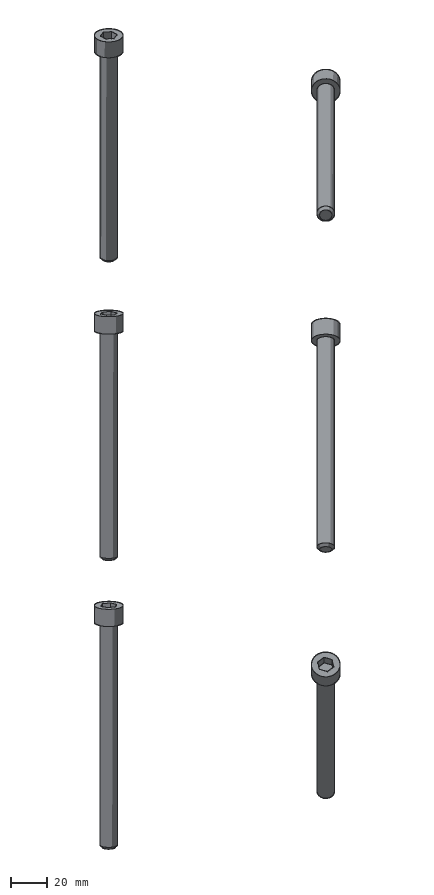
import cadquery as cq
import math

total_length = 140.0
head_diameter = 16.0
head_height = 10.0
shank_diameter = 10.0
socket_across_flats = 8.1
socket_depth = 6.0
tip_chamfer = 1.5

shank_length = total_length - head_height
socket_across_corners = socket_across_flats / math.cos(math.radians(30))


def make_shank():
    """Plain cylinder with a chamfered tip."""
    shank = cq.Workplane("XY").circle(shank_diameter / 2).extrude(shank_length)
    return shank.faces("<Z").chamfer(tip_chamfer)


def make_head():
    """Cylindrical head above the shank."""
    return cq.Workplane("XY").workplane(offset=shank_length).circle(head_diameter / 2).extrude(head_height)


def make_socket():
    """Hexagonal recess, with two corners on the X axis."""
    return (
        cq.Workplane("XY")
        .workplane(offset=total_length)
        .polygon(6, socket_across_corners)
        .extrude(-socket_depth)
    )


result = make_shank().union(make_head()).cut(make_socket())